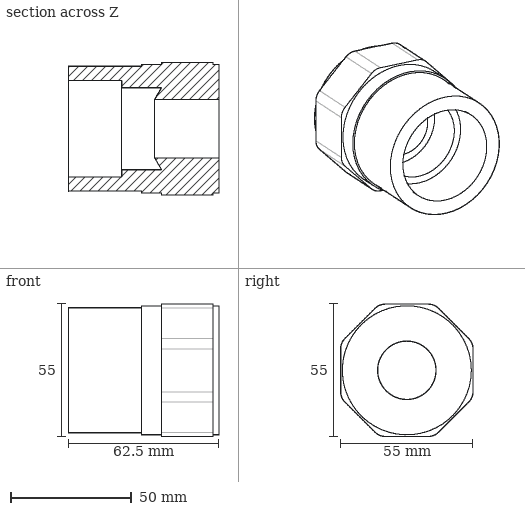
import cadquery as cq
import math

length = 62.5
body_length = 30.2
collar_length = 8.3
nut_length = 21.5
end_ring_length = length - body_length - collar_length - nut_length

body_diameter = 52.0
collar_diameter = 53.5
nut_across_flats = 55.0
nut_edge_radius = 6.0

socket_diameter = 40.0
socket_depth = 22.0
relief_diameter = 34.0
throat_diameter = 24.12
rim_cone_angle = 120.0

collar_start = body_length
nut_start = collar_start + collar_length
end_ring_start = nut_start + nut_length

relief_end = nut_start


def section_at(x):
    """Workplane across the X axis at x, with its normal along +X."""
    return cq.Workplane("YZ", origin=(x, 0, 0))


def cylinder(start, span, diameter):
    return section_at(start).circle(diameter / 2).extrude(span)


def octagon_nut():
    """Octagonal prism with rounded edges, as two crossed squares."""
    square = section_at(nut_start).rect(nut_across_flats, nut_across_flats).extrude(nut_length)
    turned_square = square.rotate((0, 0, 0), (1, 0, 0), 45)
    return square.intersect(turned_square).edges("|X").fillet(nut_edge_radius)


def stepped_bore():
    """Socket and narrower relief bore, leaving a pointed conical rim around the throat."""
    rim_height = (relief_diameter - throat_diameter) / 2 / math.tan(math.radians(rim_cone_angle / 2))
    profile = [
        (0, 0),
        (0, socket_diameter / 2),
        (socket_depth, socket_diameter / 2),
        (socket_depth, relief_diameter / 2),
        (relief_end, relief_diameter / 2),
        (relief_end - rim_height, throat_diameter / 2),
        (length, throat_diameter / 2),
        (length, 0),
    ]
    return cq.Workplane("XY").polyline(profile).close().revolve(360, (0, 0, 0), (1, 0, 0))


outside = (
    cylinder(0, body_length, body_diameter)
    .union(cylinder(collar_start, collar_length, collar_diameter))
    .union(octagon_nut())
    .union(cylinder(end_ring_start, end_ring_length, collar_diameter))
)

result = outside.cut(stepped_bore())